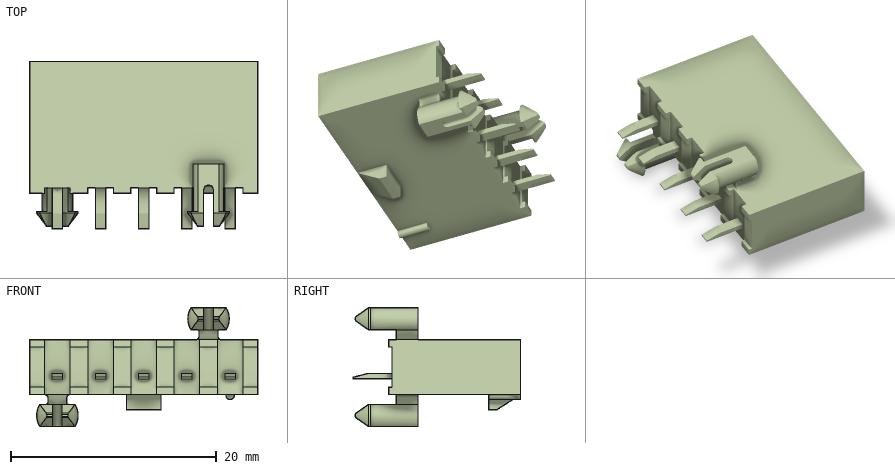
import cadquery as cq
import math

HOUSING_WIDTH = 22.2
HOUSING_DEPTH = 12.83
HOUSING_HEIGHT = 5.33
HALF_HEIGHT = HOUSING_HEIGHT / 2
FRONT_Y = -HOUSING_DEPTH

CONTACT_COUNT = 5
PITCH = 4.2
CHANNEL_WIDTH = 2.49
CHANNEL_DEPTH = 0.53
TAB_HEIGHT = 0.7
PANEL_RECESS = 0.33
CHANNEL_Y = FRONT_Y + CHANNEL_DEPTH

OVERALL_DEPTH = 16.3
PIN_WIDTH = 1.02
PIN_THICKNESS = 0.53
PIN_TIP_THICKNESS = 0.15
PIN_TAPER_LENGTH = 1.49
PIN_BOTTOM_Z = -1.13

OVERALL_HEIGHT = 11.57
PEG_HEIGHT = 2.18
PEG_DIAMETER = 3.0
PEG_CENTER_Z = (OVERALL_HEIGHT - PEG_HEIGHT) / 2
PEG_REAR_Y = -9.97
BARB_DIAMETER = 4.05
BARB_RIM_LENGTH = 0.18
BARB_REAR_Y = -14.59
BARB_TIP_Y = -16.07
BARB_TIP_WIDTH = 2.06
BARB_TIP_HEIGHT = 0.45
BARB_NOSE_HEIGHT = 0.15
BARB_NOSE_LENGTH = 0.07
SLOT_WIDTH = 0.93
SLOT_END_Y = -12.03
UPPER_PEG_X = 1.5 * PITCH
LOWER_PEG_X = -2 * PITCH

NECK_WIDTH = 1.86
NECK_LENGTH = 2.13
NECK_ROOT_RADIUS = 0.3
NECK_TOP_RADIUS = 0.13

LATCH_WIDTH = 3.35
LATCH_LENGTH = 3.1
LATCH_HEIGHT = 1.49
LATCH_FLAT = 0.8
RIB_WIDTH = 0.85
RIB_HEIGHT = 0.49
RIB_X = 2 * PITCH

contact_positions = [PITCH * (i - (CONTACT_COUNT - 1) / 2) for i in range(CONTACT_COUNT)]


def block(x_center, width, y_front, y_rear, z_bottom, z_top):
    """Box given by its X centre and width and its Y and Z limits."""
    box = cq.Workplane("XY").box(width, y_rear - y_front, z_top - z_bottom, centered=(True, False, False))
    return box.translate((x_center, y_front, z_bottom))


def make_housing():
    """Block with a full-height channel at each contact and tabs along the top and bottom edges."""
    housing = block(0, HOUSING_WIDTH, FRONT_Y, 0, -HALF_HEIGHT, HALF_HEIGHT)
    tab_inner_z = HALF_HEIGHT - TAB_HEIGHT
    housing = housing.cut(
        block(0, HOUSING_WIDTH, FRONT_Y, FRONT_Y + PANEL_RECESS, -tab_inner_z, tab_inner_z)
    )
    for x in contact_positions:
        housing = housing.cut(block(x, CHANNEL_WIDTH, FRONT_Y, CHANNEL_Y, -HALF_HEIGHT, HALF_HEIGHT))
    return housing


def make_pin(x):
    """Flat pin whose upper side slopes down to a thin tip."""
    top_z = PIN_BOTTOM_Z + PIN_THICKNESS
    return (
        cq.Workplane("YZ", origin=(x, 0, 0))
        .moveTo(CHANNEL_Y, PIN_BOTTOM_Z)
        .lineTo(-OVERALL_DEPTH, PIN_BOTTOM_Z)
        .lineTo(-OVERALL_DEPTH, PIN_BOTTOM_Z + PIN_TIP_THICKNESS)
        .lineTo(-OVERALL_DEPTH + PIN_TAPER_LENGTH, top_z)
        .lineTo(CHANNEL_Y, top_z)
        .close()
        .extrude(PIN_WIDTH / 2, both=True)
    )


def make_peg_body():
    """Round shank with a conical barb, trimmed flat above and below to a blunt nose and split by a slot."""
    shank_radius = PEG_DIAMETER / 2
    barb_radius = BARB_DIAMETER / 2
    tip_radius = BARB_TIP_WIDTH / 2
    rim_y = BARB_REAR_Y - BARB_RIM_LENGTH
    nose_y = BARB_TIP_Y + BARB_NOSE_LENGTH
    revolved = (
        cq.Workplane("XY")
        .moveTo(0, PEG_REAR_Y)
        .lineTo(shank_radius, PEG_REAR_Y)
        .lineTo(shank_radius, BARB_REAR_Y)
        .lineTo(barb_radius, BARB_REAR_Y)
        .lineTo(barb_radius, rim_y)
        .lineTo(tip_radius, BARB_TIP_Y)
        .lineTo(0, BARB_TIP_Y)
        .close()
        .revolve(360, (0, 0, 0), (0, 1, 0))
    )
    side_outline = (
        cq.Workplane("YZ")
        .moveTo(PEG_REAR_Y, -PEG_HEIGHT / 2)
        .lineTo(rim_y, -PEG_HEIGHT / 2)
        .lineTo(nose_y, -BARB_TIP_HEIGHT / 2)
        .lineTo(BARB_TIP_Y, -BARB_NOSE_HEIGHT / 2)
        .lineTo(BARB_TIP_Y, BARB_NOSE_HEIGHT / 2)
        .lineTo(nose_y, BARB_TIP_HEIGHT / 2)
        .lineTo(rim_y, PEG_HEIGHT / 2)
        .lineTo(PEG_REAR_Y, PEG_HEIGHT / 2)
        .close()
        .extrude(BARB_DIAMETER, both=True)
    )
    slot_radius = SLOT_WIDTH / 2
    slot = (
        cq.Workplane("XY")
        .moveTo(-slot_radius, BARB_TIP_Y)
        .lineTo(-slot_radius, SLOT_END_Y - slot_radius)
        .threePointArc((0, SLOT_END_Y), (slot_radius, SLOT_END_Y - slot_radius))
        .lineTo(slot_radius, BARB_TIP_Y)
        .close()
        .extrude(PEG_HEIGHT, both=True)
    )
    return revolved.intersect(side_outline).cut(slot)


def make_neck():
    """Rib from the housing top to the peg, flaring in quarter rounds at both ends."""
    half = NECK_WIDTH / 2
    root_z = HALF_HEIGHT
    top_z = PEG_CENTER_Z - PEG_HEIGHT / 2
    arc_mid = 1 - math.sqrt(0.5)
    root_half = half + NECK_ROOT_RADIUS
    top_half = half + NECK_TOP_RADIUS
    root_mid = (half + arc_mid * NECK_ROOT_RADIUS, root_z + arc_mid * NECK_ROOT_RADIUS)
    top_mid = (half + arc_mid * NECK_TOP_RADIUS, top_z - arc_mid * NECK_TOP_RADIUS)
    return (
        cq.Workplane("XZ", origin=(0, PEG_REAR_Y, 0))
        .moveTo(-root_half, root_z)
        .lineTo(root_half, root_z)
        .threePointArc(root_mid, (half, root_z + NECK_ROOT_RADIUS))
        .lineTo(half, top_z - NECK_TOP_RADIUS)
        .threePointArc(top_mid, (top_half, top_z))
        .lineTo(-top_half, top_z)
        .threePointArc((-top_mid[0], top_mid[1]), (-half, top_z - NECK_TOP_RADIUS))
        .lineTo(-half, root_z + NECK_ROOT_RADIUS)
        .threePointArc((-root_mid[0], root_mid[1]), (-root_half, root_z))
        .close()
        .extrude(NECK_LENGTH)
    )


def make_latch():
    """Ramp under the housing, deepening from the rear edge to a short flat and a square step."""
    latch_z = -HALF_HEIGHT - LATCH_HEIGHT
    return (
        cq.Workplane("YZ")
        .moveTo(0, -HALF_HEIGHT)
        .lineTo(LATCH_FLAT - LATCH_LENGTH, latch_z)
        .lineTo(-LATCH_LENGTH, latch_z)
        .lineTo(-LATCH_LENGTH, -HALF_HEIGHT)
        .close()
        .extrude(LATCH_WIDTH / 2, both=True)
    )


def make_polarity_rib():
    """Round-bottomed rib beside the latch, as long as the latch."""
    radius = RIB_WIDTH / 2
    bottom_z = -HALF_HEIGHT - RIB_HEIGHT
    return (
        cq.Workplane("XZ")
        .moveTo(RIB_X - radius, -HALF_HEIGHT)
        .lineTo(RIB_X - radius, bottom_z + radius)
        .threePointArc((RIB_X, bottom_z), (RIB_X + radius, bottom_z + radius))
        .lineTo(RIB_X + radius, -HALF_HEIGHT)
        .close()
        .extrude(LATCH_LENGTH)
    )


result = make_housing()
for contact_x in contact_positions:
    result = result.union(make_pin(contact_x))

peg = make_peg_body().translate((0, 0, PEG_CENTER_Z)).union(make_neck())
result = result.union(peg.translate((UPPER_PEG_X, 0, 0)))
result = result.union(peg.mirror("XY").translate((LOWER_PEG_X, 0, 0)))

result = result.union(make_latch()).union(make_polarity_rib())